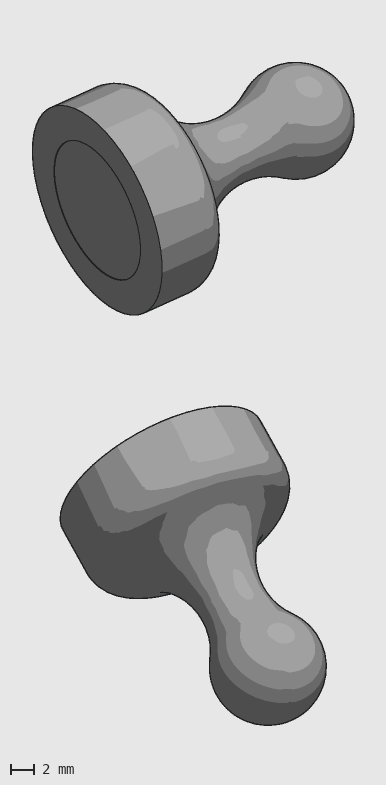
import cadquery as cq
import math


total_height = 25.4
base_radius = 9.52
base_straight_height = 4.57
shoulder_radius = 2.55
ball_radius = 4.95
neck_radius = 2.95
neck_height = 13.75
ball_center_height = total_height - ball_radius

magnet_radius = 6.35
magnet_thickness = 3.18
magnet_edge_radius = 0.13


def neck_arc_radius(center_radius, center_height, round_radius):
    """Radius of the concave arc parallel to the axis at the neck and tangent to a convex round."""
    inset = neck_radius - center_radius
    rise = neck_height - center_height
    return (inset**2 + rise**2 - round_radius**2) / (2 * (round_radius - inset))


def point_on_round(center_radius, center_height, round_radius, angle):
    """Profile point (height, radius) on a round; the angle is measured from outward towards +Y."""
    return (
        center_height + round_radius * math.sin(angle),
        center_radius + round_radius * math.cos(angle),
    )


def joint_angle(center_radius, center_height, round_radius):
    """Direction from a round's center to the center of the neck arc tangent to it."""
    arc_radius = neck_arc_radius(center_radius, center_height, round_radius)
    return math.atan2(neck_height - center_height, neck_radius + arc_radius - center_radius)


def make_handle():
    """Revolved base, shoulder, neck and ball, with a pocket that fits the magnet."""
    shoulder = (base_radius - shoulder_radius, base_straight_height, shoulder_radius)
    ball = (0.0, ball_center_height, ball_radius)
    shoulder_angle = joint_angle(*shoulder)
    ball_angle = joint_angle(*ball)

    profile = (
        cq.Workplane("YZ")
        .lineTo(0, base_radius)
        .lineTo(base_straight_height, base_radius)
        .threePointArc(
            point_on_round(*shoulder, shoulder_angle / 2),
            point_on_round(*shoulder, shoulder_angle),
        )
        .tangentArcPoint((neck_height, neck_radius), relative=False)
        .tangentArcPoint(point_on_round(*ball, ball_angle), relative=False)
        .threePointArc(point_on_round(*ball, 0), (total_height, 0))
        .close()
    )
    turned_body = profile.revolve(360, (0, 0), (1, 0))
    return turned_body.cut(magnet_disc())


def magnet_disc():
    """Plain disc in the place of the magnet; it is also the shape of the magnet's pocket."""
    return cq.Workplane("XZ").circle(magnet_radius).extrude(-magnet_thickness)


def make_magnet():
    """Disc magnet with a slightly rounded outer edge."""
    return magnet_disc().faces("<Y").edges().fillet(magnet_edge_radius)


handle = make_handle()
magnet = make_magnet()

result = cq.Compound.makeCompound([handle.val(), magnet.val()])